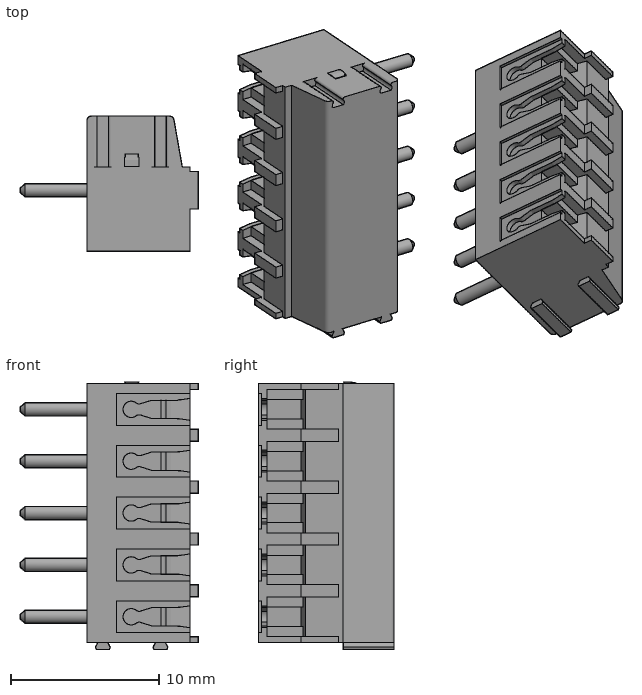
import cadquery as cq
import math

contact_count = 5
total_height = 18.08
rail_drop = 0.47
nub_height = 0.1
body_width = 6.98
body_height = total_height - rail_drop - nub_height
pitch = body_height / contact_count
overlap = 0.09

body_depth = 9.15
shoulder_y = 5.71
shoulder_width = 0.52
slope_angle = math.radians(10)
rear_fillet = 0.33

tab_length = 0.56
tab_front_y = 2.85
tab_rear_y = 5.4
partition_thickness = 0.83

pin_length = 4.5
pin_diameter = 0.9
pin_tip_diameter = 0.3
pin_tip_length = 0.35
pin_y = (tab_front_y + tab_rear_y) / 2

recess_left = 2.02
recess_height = 2.15
recess_depth = 0.2
plate_back_y = 0.58
keyhole_radius = 1.1 / 2
keyhole_x = 3.0
neck_half_height = 0.75 / 2
neck_fillet = 0.22
neck_end_x = 3.6
slot_half_height = 0.61
slot_start_x = 4.38
flare_start_x = 6.13
flare_half_height = 0.75

chamber_left = 5.03
seat_left = 5.33
seat_right = 5.7
seat_y = tab_front_y
seat_groove_sag = 0.04
chamber_height = 1.3
ramp_drop = 0.3
mouth_left = 6.3
mouth_height = pitch - partition_thickness

interlock_centres = (1.08, 4.97)
rail_root_width = 0.7
rail_width = 1.01
rail_tip_width = 0.89
rail_widest_drop = 0.3
groove_mouth_width = 1.12
groove_floor_width = 0.81
groove_bulge_width = 0.98
groove_lip_radius = 0.18
groove_bulge_depth = 0.38
groove_depth = 0.56

nub_x = 3.04
nub_base_width = 0.83
nub_top_width = 1.0
nub_front_y = 5.73
nub_undercut = 0.05
nub_crest_y = 6.15
nub_rear_y = 6.58
nub_rear_height = 0.04


def contact_levels():
    return [(index + 0.5) * pitch for index in range(contact_count)]


def extrude_back(outline, front_y, rear_y):
    """Extend an outline drawn on the XZ plane from one Y to a larger Y."""
    return outline.extrude(front_y - rear_y).translate((0, front_y, 0))


def make_body():
    slope_foot_x = body_width - shoulder_width
    slope_top_x = slope_foot_x - (body_depth - shoulder_y) * math.tan(slope_angle)
    block = (
        cq.Workplane("XY")
        .polyline([
            (0, 0),
            (body_width, 0),
            (body_width, shoulder_y),
            (slope_foot_x, shoulder_y),
            (slope_top_x, body_depth),
            (0, body_depth),
        ])
        .close()
        .extrude(body_height)
    )
    return block.faces(">Y").edges("|Z").fillet(rear_fillet)


def make_tab(boundary):
    """Tab centred on a boundary between contacts, kept within the body height."""
    bottom = max(boundary - partition_thickness / 2, 0)
    top = min(boundary + partition_thickness / 2, body_height)
    return cq.Workplane("XY").box(
        tab_length + overlap, tab_rear_y - tab_front_y, top - bottom, centered=False
    ).translate((body_width - overlap, tab_front_y, bottom))


def make_pin(level):
    tip_x = -pin_length
    return (
        cq.Workplane("XY")
        .polyline([
            (tip_x, 0),
            (tip_x, -pin_tip_diameter / 2),
            (tip_x + pin_tip_length, -pin_diameter / 2),
            (overlap, -pin_diameter / 2),
            (overlap, 0),
        ])
        .close()
        .revolve(360, (0, 0, 0), (1, 0, 0))
        .translate((0, pin_y, level))
    )


def keyhole_outline():
    """Round hole, filleted neck, widening throat and flared open end, centred on z = 0."""
    fillet_dz = neck_half_height + neck_fillet
    fillet_dx = math.sqrt((keyhole_radius + neck_fillet) ** 2 - fillet_dz**2)
    reach = keyhole_radius / (keyhole_radius + neck_fillet)
    round_end = (keyhole_x + fillet_dx * reach, fillet_dz * reach)
    neck_start_x = keyhole_x + fillet_dx
    fillet_turn = (math.atan2(fillet_dz, fillet_dx) + math.pi / 2) / 2
    fillet_middle = (
        neck_start_x - neck_fillet * math.cos(fillet_turn),
        fillet_dz - neck_fillet * math.sin(fillet_turn),
    )
    flare_slope = (flare_half_height - slot_half_height) / (body_width - flare_start_x)
    end_half_height = flare_half_height + flare_slope * overlap
    upper = [
        (neck_end_x, neck_half_height),
        (slot_start_x, slot_half_height),
        (flare_start_x, slot_half_height),
        (body_width + overlap, end_half_height),
    ]
    outline = (
        cq.Workplane("XZ")
        .moveTo(round_end[0], -round_end[1])
        .threePointArc((keyhole_x - keyhole_radius, 0), round_end)
        .threePointArc(fillet_middle, (neck_start_x, neck_half_height))
    )
    for x, z in upper:
        outline = outline.lineTo(x, z)
    for x, z in reversed(upper):
        outline = outline.lineTo(x, -z)
    return (
        outline.lineTo(neck_start_x, -neck_half_height)
        .threePointArc((fillet_middle[0], -fillet_middle[1]), (round_end[0], -round_end[1]))
        .close()
    )


def make_wire_chamber():
    """Chamber centred on z = 0, floored by a groove, a seat and a ramp, with a taller +X mouth."""
    open_end_x = body_width + overlap
    groove_bottom = ((chamber_left + seat_left) / 2, seat_y + seat_groove_sag)
    ramp_slope = ramp_drop / (body_width - seat_right)
    outline = (
        cq.Workplane("XY")
        .moveTo(chamber_left, plate_back_y)
        .lineTo(chamber_left, seat_y)
        .threePointArc(groove_bottom, (seat_left, seat_y))
        .lineTo(seat_right, seat_y)
        .lineTo(open_end_x, seat_y + ramp_slope * (open_end_x - seat_right))
        .lineTo(open_end_x, plate_back_y)
        .close()
    )
    inner_zone = cq.Workplane("XY").box(
        open_end_x, body_depth, chamber_height, centered=(False, False, True)
    )
    mouth_zone = cq.Workplane("XY").box(
        open_end_x - mouth_left, body_depth, mouth_height, centered=(False, False, True)
    ).translate((mouth_left, 0, 0))
    return outline.extrude(mouth_height / 2, both=True).intersect(inner_zone.union(mouth_zone))


def make_contact_opening():
    """Everything removed from the body for one contact, centred on z = 0."""
    recess = cq.Workplane("XY").box(
        body_width + overlap - recess_left, recess_depth + overlap, recess_height,
        centered=(False, False, True),
    ).translate((recess_left, -overlap, 0))
    keyhole = extrude_back(keyhole_outline(), -overlap, plate_back_y)
    return recess.union(keyhole).union(make_wire_chamber())


def make_rail(centre_x):
    """Flared rail hanging below the body."""
    half_widths = [
        (rail_root_width / 2, overlap),
        (rail_root_width / 2, 0),
        (rail_width / 2, -rail_widest_drop),
        (rail_tip_width / 2, -rail_drop),
    ]
    points = [(centre_x + half, z) for half, z in half_widths]
    points += [(centre_x - half, z) for half, z in reversed(half_widths)]
    return extrude_back(cq.Workplane("XZ").polyline(points).close(), shoulder_y, body_depth)


def make_groove(centre_x):
    """Groove in the top with a rounded mouth, a narrow neck and bulging side walls."""
    top = body_height
    mouth = groove_mouth_width / 2
    neck = mouth - groove_lip_radius
    floor = groove_floor_width / 2
    bulge = groove_bulge_width / 2
    bulge_z = top - groove_bulge_depth
    lip_inset = groove_lip_radius * (1 - math.sqrt(0.5))
    lip_middle = (neck + lip_inset, top - lip_inset)
    outline = (
        cq.Workplane("XZ")
        .moveTo(mouth, top)
        .threePointArc(lip_middle, (neck, top - groove_lip_radius))
        .threePointArc((bulge, bulge_z), (floor, top - groove_depth))
        .lineTo(-floor, top - groove_depth)
        .threePointArc((-bulge, bulge_z), (-neck, top - groove_lip_radius))
        .threePointArc((-lip_middle[0], lip_middle[1]), (-mouth, top))
        .close()
    )
    groove = extrude_back(outline, shoulder_y, body_depth + overlap)
    return groove.translate((centre_x, 0, 0))


def make_nub():
    """Latch nub with undercut sides and a ramp down towards the rear."""
    top = body_height + nub_height
    widths = (
        cq.Workplane("XZ")
        .polyline([
            (nub_x - nub_base_width / 2, body_height - overlap),
            (nub_x - nub_base_width / 2, body_height),
            (nub_x - nub_top_width / 2, top),
            (nub_x + nub_top_width / 2, top),
            (nub_x + nub_base_width / 2, body_height),
            (nub_x + nub_base_width / 2, body_height - overlap),
        ])
        .close()
    )
    side = (
        cq.Workplane("YZ")
        .polyline([
            (nub_front_y + nub_undercut, body_height - overlap),
            (nub_front_y + nub_undercut, body_height),
            (nub_front_y, top),
            (nub_crest_y, top),
            (nub_rear_y, body_height + nub_rear_height),
            (nub_rear_y, body_height - overlap),
        ])
        .close()
        .extrude(body_width)
    )
    return extrude_back(widths, nub_front_y, nub_rear_y).intersect(side)


result = make_body()

for boundary_index in range(contact_count + 1):
    result = result.union(make_tab(boundary_index * pitch))

contact_opening = make_contact_opening()
for level in contact_levels():
    result = result.cut(contact_opening.translate((0, 0, level)))
    result = result.union(make_pin(level))

for interlock_x in interlock_centres:
    result = result.cut(make_groove(interlock_x))
    result = result.union(make_rail(interlock_x))

result = result.union(make_nub())